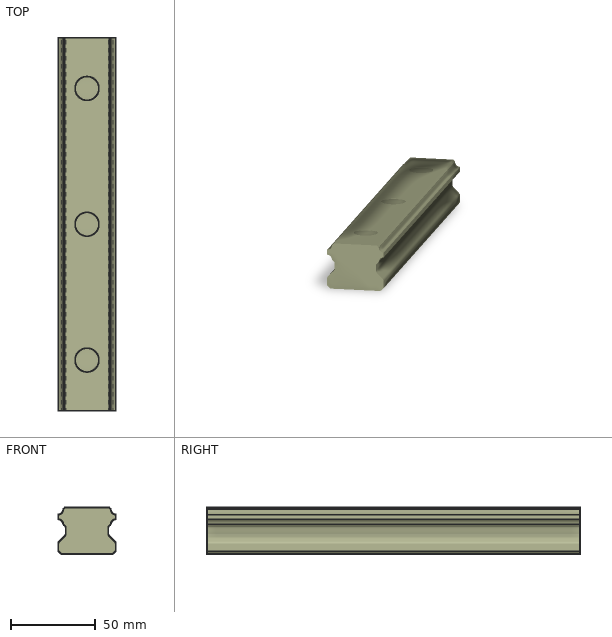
import cadquery as cq

LENGTH = 220.0
WIDTH = 34.0
HEIGHT = 27.5

HALF_WIDTH = WIDTH / 2
HALF_HEAD = 14.0
HALF_WAIST = 12.5

TOP_CHAMFER = 1.0
BASE_CHAMFER_WIDTH = 2.0
BASE_CHAMFER_HEIGHT = 1.8
FLANK_FILLET = 2.2
WAIST_TOP_FILLET = 1.0

BASE_SIDE_TOP = 6.8
WAIST_BOTTOM = BASE_SIDE_TOP + HALF_WIDTH - HALF_WAIST
LIP_BOTTOM = 20.5
LIP_TOP = 23.3

RACE_RADIUS = 3.0
RACE_RISE = 2.9
LOWER_RACE_END = LIP_BOTTOM - RACE_RISE
UPPER_RACE_END = LIP_TOP + RACE_RISE
WAIST_TOP = LOWER_RACE_END - (HALF_HEAD - HALF_WAIST)

CAP_DIAMETER = 14.0
CAP_PITCH = 80.0
CAP_COUNT = 3
CAP_RECESS = 0.2


def make_half_rail():
    """Rail half on the +X side, centred along Y, with its flank corners rounded."""
    section = (
        cq.Workplane("XZ")
        .moveTo(0, 0)
        .lineTo(HALF_WIDTH - BASE_CHAMFER_WIDTH, 0)
        .lineTo(HALF_WIDTH, BASE_CHAMFER_HEIGHT)
        .lineTo(HALF_WIDTH, BASE_SIDE_TOP)
        .lineTo(HALF_WAIST, WAIST_BOTTOM)
        .lineTo(HALF_WAIST, WAIST_TOP)
        .lineTo(HALF_HEAD, LOWER_RACE_END)
        .radiusArc((HALF_WIDTH, LIP_BOTTOM), RACE_RADIUS)
        .lineTo(HALF_WIDTH, LIP_TOP)
        .radiusArc((HALF_HEAD, UPPER_RACE_END), RACE_RADIUS)
        .lineTo(HALF_HEAD, HEIGHT - TOP_CHAMFER)
        .lineTo(HALF_HEAD - TOP_CHAMFER, HEIGHT)
        .lineTo(0, HEIGHT)
        .close()
    )
    rail = section.extrude(LENGTH / 2, both=True)
    flank_corners = [
        (HALF_WIDTH, BASE_SIDE_TOP, FLANK_FILLET),
        (HALF_WAIST, WAIST_BOTTOM, FLANK_FILLET),
        (HALF_WAIST, WAIST_TOP, WAIST_TOP_FILLET),
    ]
    for x, z, radius in flank_corners:
        corner_edge = cq.selectors.NearestToPointSelector((x, 0, z))
        rail = rail.edges(corner_edge).fillet(radius)
    return rail


def make_cap_recesses():
    """Shallow discs along the top centreline, one for each mounting-hole cap."""
    return (
        cq.Workplane("XY", origin=(0, 0, HEIGHT))
        .rarray(2.2, CAP_PITCH, 1, CAP_COUNT)
        .circle(CAP_DIAMETER / 2)
        .extrude(-CAP_RECESS)
    )


half_rail = make_half_rail()
rail = half_rail.union(half_rail.mirror("YZ"))
result = rail.cut(make_cap_recesses())